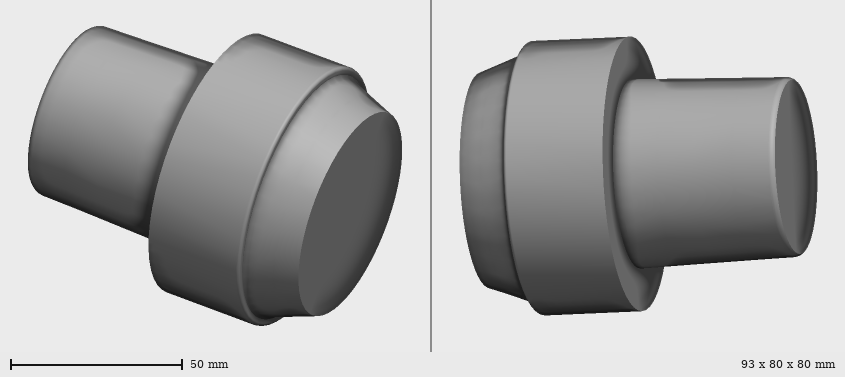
import cadquery as cq

total_length = 93.0
shank_land_start = 46.0
collar_start = 48.0
collar_end = 77.9

shank_tip_radius = 26.2
shank_root_radius = 27.5
collar_radius = 40.0
nose_base_radius = 36.55
nose_tip_radius = 31.4

shank_round_length = 1.7
shank_round_depth = 0.8
collar_round = 1.0
nose_fillet_length = 1.2
nose_fillet_height = 1.1

shank_round_end = (0, shank_tip_radius - shank_round_depth)
nose_fillet_top = (collar_end, nose_base_radius + nose_fillet_height)
collar_round_end = (collar_end - collar_round, collar_radius)

profile = (
    cq.Workplane("XZ")
    .moveTo(total_length, 0)
    .lineTo(total_length, nose_tip_radius)
    .lineTo(collar_end + nose_fillet_length, nose_base_radius)
    .tangentArcPoint(nose_fillet_top, relative=False)
    .lineTo(collar_end, collar_radius - collar_round)
    .tangentArcPoint(collar_round_end, relative=False)
    .lineTo(collar_start, collar_radius)
    .lineTo(collar_start, shank_root_radius)
    .lineTo(shank_land_start, shank_root_radius)
    .lineTo(shank_round_length, shank_tip_radius)
    .tangentArcPoint(shank_round_end, relative=False)
    .lineTo(0, 0)
    .close()
)

result = profile.revolve(360, (0, 0, 0), (1, 0, 0))